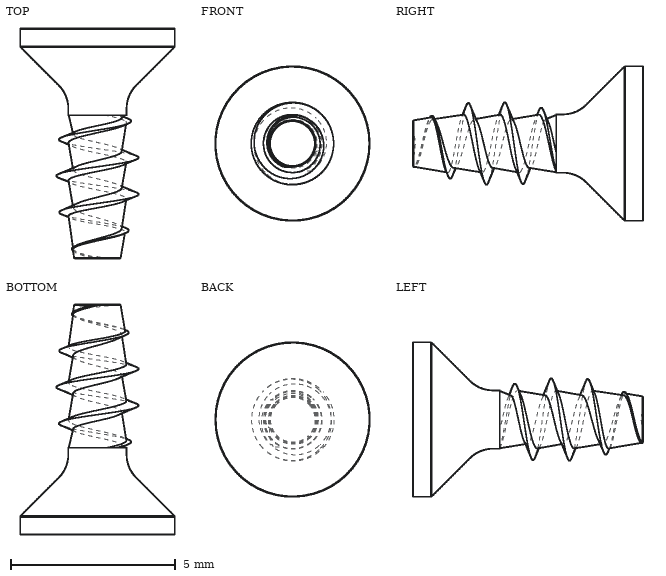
import cadquery as cq
import math

LENGTH = 7.0
HEAD_RADIUS = 2.35
RIM_DEPTH = 0.56
RIM_CHAMFER = 0.02
HEAD_CONE_ANGLE = math.radians(45)
NECK_FILLET = 1.0
SHANK_RADIUS = 0.89
SHANK_LENGTH = 0.21

TIP_RADIUS = 0.71
TIP_TAPER = 0.16
TIP_CHAMFER = 0.03
TIP_RECESS = 0.07

PITCH = 1.11
CREST_DEPTH_AT_ZERO = 2.815
THREAD_START = -1.2
TURNS = 6
SAMPLES_PER_TURN = 36
FULL_TURN = 2 * math.pi

FLANK_SLOPE = 0.38
LEADING_ROOT = 0.74
TRAILING_ROOT = 0.88
MIN_HALF_WIDTH = 0.02
LAND_SINK = 0.035

BURIED_CREST = 0.84
START_CREST = 1.01
FULL_CREST = 1.25
ENTRY_LENGTH = 0.07
FULL_CREST_FROM = 3.85
FULL_CREST_TO = 5.11
THREAD_END_DEPTH = 6.93
END_CREST = 0.755

fillet_drop = NECK_FILLET * (1 - math.cos(HEAD_CONE_ANGLE))
neck_radius = SHANK_RADIUS + fillet_drop
cone_end = RIM_DEPTH + (HEAD_RADIUS - neck_radius) / math.tan(HEAD_CONE_ANGLE)
shank_start = cone_end + NECK_FILLET * math.sin(HEAD_CONE_ANGLE)
shank_end = shank_start + SHANK_LENGTH
helix_start = THREAD_START - FULL_TURN


def smooth_step(value, low, high):
    """Ease from 0 at low to 1 at high, level at both ends."""
    fraction = min(1.0, max(0.0, (value - low) / (high - low)))
    return fraction * fraction * (3 - 2 * fraction)


def crest_depth(angle):
    return CREST_DEPTH_AT_ZERO + PITCH * angle / FULL_TURN


def crest_radius(depth):
    """The crest emerges from the shank, grows, stays full, then fades at the tip."""
    start = crest_depth(THREAD_START)
    entry = smooth_step(depth, start - ENTRY_LENGTH, start)
    rise = smooth_step(depth, start, FULL_CREST_FROM)
    fade = smooth_step(depth, FULL_CREST_TO, THREAD_END_DEPTH)
    radius = BURIED_CREST + (START_CREST - BURIED_CREST) * entry
    return radius + (FULL_CREST - START_CREST) * rise - (FULL_CREST - END_CREST) * fade


def tip_radius(depth):
    return TIP_RADIUS + TIP_TAPER * (LENGTH - depth)


def thread_section(angle):
    """Leading root, crest and trailing root as (radius, depth)."""
    depth = crest_depth(angle)
    cone = tip_radius(depth)
    crest = max(crest_radius(depth), min(BURIED_CREST, cone))
    leading = min(LEADING_ROOT, cone)
    trailing = min(TRAILING_ROOT, cone)
    leading_width = max(MIN_HALF_WIDTH, FLANK_SLOPE * (crest - leading))
    trailing_width = max(MIN_HALF_WIDTH, FLANK_SLOPE * (crest - trailing))
    trailing_depth = max(depth + trailing_width, shank_end - LAND_SINK)
    return [(leading, depth - leading_width), (crest, depth), (trailing, trailing_depth)]


def section_point(angle, corner):
    radius, depth = thread_section(angle)[corner]
    return cq.Vector(radius * math.cos(angle), -depth, radius * math.sin(angle))


def rail(turn, corner):
    """One turn of the helical edge through a corner of the section."""
    start = helix_start + turn * FULL_TURN
    angles = [start + FULL_TURN * i / SAMPLES_PER_TURN for i in range(SAMPLES_PER_TURN + 1)]
    points = [section_point(angle, corner) for angle in angles]
    return cq.Edge.makeSpline(points, parameters=angles)


def helicoid(turn):
    """Ramp from the axis out to the leading root, closing one end of the thread."""
    edge = rail(turn, 0)
    first = cq.Vector(0, edge.startPoint().y, 0)
    last = cq.Vector(0, edge.endPoint().y, 0)
    return cq.Face.makeRuledSurface(cq.Edge.makeLine(first, last), edge)


def end_wall(turn):
    """Flat axial wall joining the two ends of a helicoid."""
    angle = helix_start + turn * FULL_TURN
    points = [section_point(angle, corner) for corner in range(3)]
    points.append(section_point(angle + FULL_TURN, 0))
    axis_points = [cq.Vector(0, points[-1].y, 0), cq.Vector(0, points[0].y, 0)]
    return cq.Face.makeFromWires(cq.Wire.makePolygon(points + axis_points, close=True))


def make_thread():
    """Threaded core closed at both ends by a helicoid and a flat wall."""
    faces = []
    for turn in range(TURNS):
        rails = [rail(turn, corner) for corner in range(3)] + [rail(turn + 1, 0)]
        faces += [cq.Face.makeRuledSurface(a, b) for a, b in zip(rails, rails[1:])]
    for turn in (0, TURNS):
        faces += [helicoid(turn), end_wall(turn)]
    return cq.Workplane(cq.Solid.makeSolid(cq.Shell.makeShell(faces)).fix())


def revolve_y(sketch):
    return sketch.close().revolve(360, (0, 0, 0), (0, 1, 0))


def make_head():
    """Countersunk head, filleted neck and plain shank."""
    half = HEAD_CONE_ANGLE / 2
    arc_mid = (
        SHANK_RADIUS + NECK_FILLET * (1 - math.cos(half)),
        -(shank_start - NECK_FILLET * math.sin(half)),
    )
    sketch = (
        cq.Workplane("XY")
        .lineTo(HEAD_RADIUS - RIM_CHAMFER, 0)
        .lineTo(HEAD_RADIUS, -RIM_CHAMFER)
        .lineTo(HEAD_RADIUS, -RIM_DEPTH + RIM_CHAMFER)
        .lineTo(HEAD_RADIUS - RIM_CHAMFER, -RIM_DEPTH - RIM_CHAMFER)
        .lineTo(neck_radius, -cone_end)
        .threePointArc(arc_mid, (SHANK_RADIUS, -shank_start))
        .lineTo(SHANK_RADIUS, -shank_end)
        .lineTo(0, -shank_end)
    )
    return revolve_y(sketch)


def make_thread_envelope():
    """Limits the thread to below the shank, with a chamfered tip and shallow conical recess."""
    outer = HEAD_RADIUS
    chamfer_cone_height = outer - TIP_RADIUS + TIP_CHAMFER
    sketch = (
        cq.Workplane("XY")
        .moveTo(0, -LENGTH + TIP_RECESS)
        .lineTo(TIP_RADIUS - TIP_CHAMFER, -LENGTH)
        .lineTo(outer, -LENGTH + chamfer_cone_height)
        .lineTo(outer, -shank_end)
        .lineTo(0, -shank_end)
    )
    return revolve_y(sketch)


thread = make_thread().intersect(make_thread_envelope())
result = make_head().union(thread)